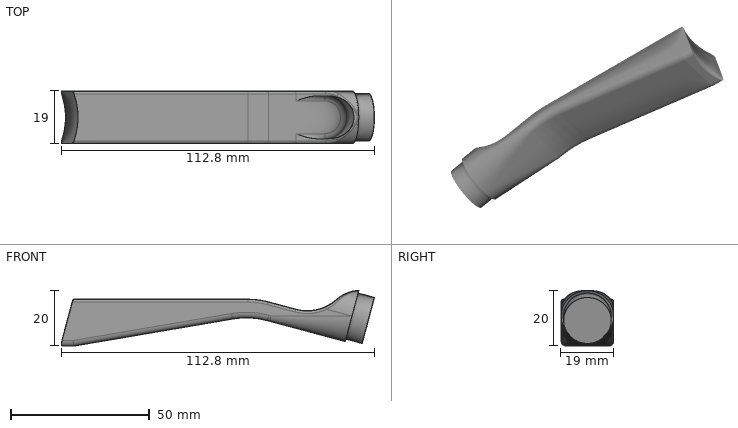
import cadquery as cq
import math

width = 19.0
half_width = width / 2
tilt = 15.0
cos_tilt = math.cos(math.radians(tilt))
sin_tilt = math.sin(math.radians(tilt))
tan_tilt = sin_tilt / cos_tilt

plug_diameter = 17.1
plug_length = 6.1
collar_x = 104.7
collar_z = 10.8

foot_length = 4.4
grip_rise = 8.8
grip_run = 51.6
underside_bend_radius = 29.3
bottom_edge_radius = 2.0
end_corner_radius = half_width - 0.06
tail_length = 28.2

top_z = 16.9
top_bend_x = 70.9
top_bend_radius = 28.2
dip_start_x = 84.5
dip_radius = 15.8
crest_radius = 12.7
rise_angle = 42.0
top_edge_radius = 1.0
lowest_rim_z = 12.4

front_radius = 25.9
front_edge_x = 4.2

pocket_diameter = 15.5
pocket_floor_radius = 1.8
pocket_centre_x = 94.8

margin = 22.5
tolerance = 0.01


def tail_point(distance, height):
    """X, Z of a point measured along and square to the tail axis from the collar."""
    return (
        collar_x + distance * cos_tilt + height * sin_tilt,
        collar_z - distance * sin_tilt + height * cos_tilt,
    )


def slope_z(x):
    """Height of the sloping upper surface of the tail."""
    return top_z - (x - top_bend_x) * tan_tilt


def tail_plane(distance):
    """Plane square to the tail axis: local x is Y, local y is up."""
    x, z = tail_point(distance, 0)
    return cq.Plane(origin=(x, 0, z), xDir=(0, 1, 0), normal=(cos_tilt, 0, -sin_tilt))


def make_grip():
    """Front body up to the start of the tail, with rounded bottom edges."""
    slope = grip_rise / grip_run
    slope_angle = math.atan(slope)
    tail_start = tail_point(-tail_length, -half_width)
    bend_x = (tail_start[1] + tail_start[0] * tan_tilt + foot_length * slope) / (slope + tan_tilt)
    bend_z = slope * (bend_x - foot_length)
    turn = math.radians(tilt) + slope_angle
    tangent = underside_bend_radius * math.tan(turn / 2)
    bend_start = (bend_x - tangent * math.cos(slope_angle), bend_z - tangent * math.sin(slope_angle))
    bend_end = (bend_x + tangent * cos_tilt, bend_z - tangent * sin_tilt)
    outline = (
        cq.Workplane("XZ")
        .moveTo(-margin, 0)
        .lineTo(foot_length, 0)
        .lineTo(*bend_start)
        .tangentArcPoint(bend_end, relative=False)
        .lineTo(*tail_start)
        .lineTo(*tail_point(-tail_length, half_width))
        .lineTo(-margin, top_z + half_width)
    )
    grip = outline.close().extrude(half_width, both=True)
    lower_edges = [
        edge for edge in grip.faces("<Y or >Y").edges().vals()
        if edge.BoundingBox().ymax - edge.BoundingBox().ymin < tolerance
        and edge.BoundingBox().zmax < bend_z
    ]
    return grip.newObject(lower_edges).fillet(bottom_edge_radius)


def tail_section(distance, radius):
    """Round-topped section whose bottom corners have the given radius."""
    diagonal = radius * (1 - math.sqrt(0.5))
    flat = half_width - radius
    return (
        cq.Workplane(tail_plane(distance))
        .moveTo(-half_width, 0)
        .threePointArc((0, half_width), (half_width, 0))
        .lineTo(half_width, -flat)
        .threePointArc((half_width - diagonal, diagonal - half_width), (flat, -half_width))
        .lineTo(-flat, -half_width)
        .threePointArc((diagonal - half_width, diagonal - half_width), (-half_width, -flat))
        .close()
        .wires()
        .val()
    )


def make_tail():
    """Tail blending from the rounded grip section to the round collar."""
    sections = [tail_section(-tail_length, bottom_edge_radius), tail_section(0, end_corner_radius)]
    return cq.Workplane(cq.Solid.makeLoft(sections, True))


def make_top_cutter():
    """Everything above the flat top, the bend, the dip and the crest."""
    tangent = top_bend_radius * math.tan(math.radians(tilt / 2))
    bend_end_x = top_bend_x + tangent * cos_tilt
    rise = math.radians(rise_angle)
    dip_start = (dip_start_x, slope_z(dip_start_x))
    dip_end = (
        dip_start[0] + dip_radius * (sin_tilt + math.sin(rise)),
        dip_start[1] + dip_radius * (cos_tilt - math.cos(rise)),
    )
    crest = (
        dip_end[0] + crest_radius * math.sin(rise),
        dip_end[1] + crest_radius * (1 - math.cos(rise)),
    )
    ceiling = top_z + margin
    outline = (
        cq.Workplane("XZ")
        .moveTo(-margin, top_z)
        .lineTo(top_bend_x - tangent, top_z)
        .tangentArcPoint((bend_end_x, slope_z(bend_end_x)), relative=False)
        .lineTo(*dip_start)
        .tangentArcPoint(dip_end, relative=False)
        .tangentArcPoint(crest, relative=False)
        .lineTo(crest[0] + margin, crest[1])
        .lineTo(crest[0] + margin, ceiling)
        .lineTo(-margin, ceiling)
    )
    return outline.close().extrude(margin, both=True)


def make_front_cutter():
    """Leaning cylinder that hollows the front end."""
    setback = math.sqrt(front_radius**2 - half_width**2)
    base = cq.Vector(front_edge_x - setback * cos_tilt, 0, top_z + setback * sin_tilt)
    axis = cq.Vector(sin_tilt, 0, cos_tilt)
    start = base - axis * 2 * margin
    return cq.Workplane(cq.Solid.makeCylinder(front_radius, 4 * margin, start, axis))


def make_pocket():
    """Slot with a rounded end and a filleted floor that continues the slope."""
    floor = cq.Plane(
        origin=(pocket_centre_x, 0, slope_z(pocket_centre_x)),
        xDir=(cos_tilt, 0, -sin_tilt),
        normal=(sin_tilt, 0, cos_tilt),
    )
    radius = pocket_diameter / 2
    slot = (
        cq.Workplane(floor)
        .moveTo(-margin, -radius)
        .lineTo(0, -radius)
        .threePointArc((radius, 0), (0, radius))
        .lineTo(-margin, radius)
        .close()
        .extrude(margin)
    )
    floor_edges = slot.faces(cq.selectors.DirectionMinMaxSelector(floor.zDir, False)).edges()
    open_end_x = pocket_centre_x - margin * cos_tilt
    wall_edges = [edge for edge in floor_edges.vals() if edge.Center().x > open_end_x + tolerance]
    return slot.newObject(wall_edges).fillet(pocket_floor_radius)


def is_top_rim_edge(edge):
    """True for the edges beside the upper surface and around the dome."""
    box = edge.BoundingBox()
    above_flanks = box.zmin > lowest_rim_z
    on_flank = box.ymax - box.ymin < tolerance
    around_dome = edge.geomType() == "BSPLINE"
    return above_flanks and (on_flank or around_dome)


def round_top_rim(solid):
    """Round the upper edges along both flanks and around the dome."""
    rim = [edge for edge in solid.edges().vals() if is_top_rim_edge(edge)]
    return solid.newObject(rim).fillet(top_edge_radius)


def make_plug():
    """Cylindrical plug standing on the collar face."""
    return cq.Workplane(tail_plane(0)).circle(plug_diameter / 2).extrude(plug_length)


body = make_grip().union(make_tail()).cut(make_top_cutter())
body = round_top_rim(body)
body = body.cut(make_front_cutter()).cut(make_pocket())
result = body.union(make_plug())